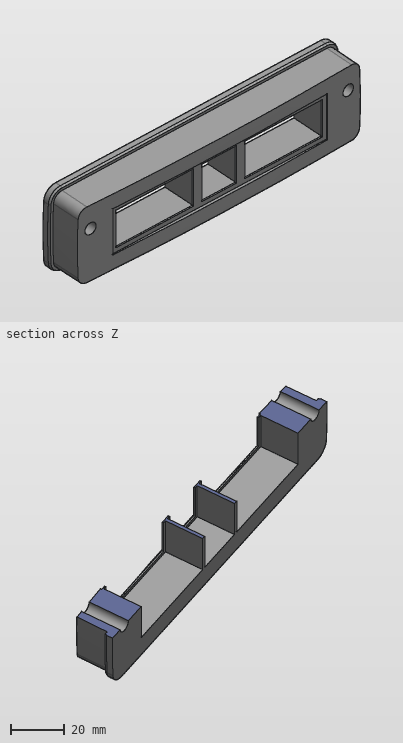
import cadquery as cq

length = 147.0
height = 39.0
flange_thickness = 3.7
end_bow = 0.7
flange_corner_radius = 6.0
flange_chamfer_length = 1.0
flange_chamfer_inset = 0.5

flange_overhang = 1.6
body_length = length - 2 * flange_overhang
body_height = height - 2 * flange_overhang
body_corner_radius = flange_corner_radius - flange_overhang
body_draft = 0.5
crown_depth = 19.0
end_depth = 17.3

center_pocket_length = 20.1
side_pocket_length = 41.9
pocket_height = 20.1
pocket_depth = 16.8
pocket_wall = 1.6
window_lip = 1.3
side_pocket_offset = center_pocket_length / 2 + pocket_wall + side_pocket_length / 2

recess_margin = 0.7
recess_floor = 17.5
recess_length = 2 * side_pocket_offset + side_pocket_length + 2 * recess_margin
recess_height = pocket_height + 2 * recess_margin

hole_diameter = 5.5
hole_offset_y = 65.3
hole_offset_z = 6.8


def block(start, depth, size_y, size_z, center_y=0.0):
    """Rectangular block running along +X from X = start."""
    return (
        cq.Workplane("YZ", origin=(start, center_y, 0))
        .rect(size_y, size_z)
        .extrude(depth)
    )


def rounded_slab(size_y, size_z, corner_radius, depth, taper=0.0):
    """Slab along +X with flat long sides, gently bowed ends and rounded corners."""
    half_y = size_y / 2
    half_z = size_z / 2
    corner_y = half_y - end_bow
    outline = (
        cq.Sketch()
        .segment((-corner_y, -half_z), (corner_y, -half_z))
        .arc((corner_y, -half_z), (half_y, 0), (corner_y, half_z))
        .segment((corner_y, half_z), (-corner_y, half_z))
        .arc((-corner_y, half_z), (-half_y, 0), (-corner_y, -half_z))
        .assemble()
        .vertices()
        .fillet(corner_radius)
    )
    return cq.Workplane("YZ").placeSketch(outline).extrude(depth, taper=taper)


def make_flange():
    """Rounded plate whose rear rim has an asymmetric chamfer."""
    plate = rounded_slab(length, height, flange_corner_radius, flange_thickness)
    return plate.faces(">X").chamfer(flange_chamfer_length, flange_chamfer_inset)


def make_body():
    """Drafted block trimmed by a back face that arcs along Y."""
    half_length = body_length / 2
    profile = (
        cq.Workplane("XY", origin=(0, 0, -body_height / 2))
        .moveTo(0, -half_length)
        .lineTo(end_depth, -half_length)
        .threePointArc((crown_depth, 0), (end_depth, half_length))
        .lineTo(0, half_length)
        .close()
    )
    drafted = rounded_slab(body_length, body_height, body_corner_radius, crown_depth, body_draft)
    return drafted.intersect(profile.extrude(body_height))


def cut_windows(part):
    """Cut each deep pocket and the smaller window through its floor."""
    windows = (
        (-side_pocket_offset, side_pocket_length),
        (0, center_pocket_length),
        (side_pocket_offset, side_pocket_length),
    )
    for center_y, pocket_length in windows:
        window_length = pocket_length - 2 * window_lip
        window_height = pocket_height - 2 * window_lip
        part = part.cut(block(0, pocket_depth, pocket_length, pocket_height, center_y))
        part = part.cut(block(0, crown_depth, window_length, window_height, center_y))
    return part


def cut_back_recess(part):
    return part.cut(block(recess_floor, crown_depth - recess_floor, recess_length, recess_height))


def cut_screw_holes(part):
    holes = (
        cq.Workplane("YZ")
        .pushPoints([(side * hole_offset_y, hole_offset_z) for side in (-1, 1)])
        .circle(hole_diameter / 2)
        .extrude(crown_depth)
    )
    return part.cut(holes)


result = make_flange().union(make_body())
result = cut_windows(result)
result = cut_back_recess(result)
result = cut_screw_holes(result)